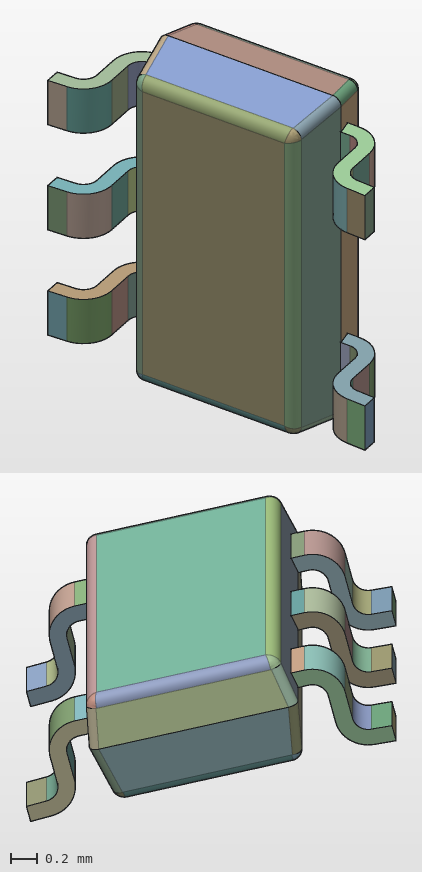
import cadquery as cq
import math


body_width = 1.6
body_length = 2.9
body_underside_y = 0.1
body_top_y = 1.0
parting_y = 0.61
draft_angle = 10.0
edge_radius = 0.1
corner_radius = 0.075

lead_span = 2.8
lead_thickness = 0.13
lead_width = 0.4
lead_pitch = 0.95
lead_top_y = 0.735
leg_outer_x = 1.13
inner_bend_radius = 0.12
foot_angle = 3.0
lead_embed = 0.1

left_lead_rows = (-1, 0, 1)
right_lead_rows = (-1, 1)


def housing_half(height):
    """Drafted half from the parting plane; a positive height goes towards +Y."""
    return (
        cq.Workplane("XZ", origin=(0, parting_y, 0))
        .rect(body_width, body_length)
        .extrude(-height, taper=draft_angle)
    )


def make_housing():
    """Two drafted halves as one block, rounded everywhere but at the parting line."""
    upper = housing_half(body_top_y - parting_y)
    lower = housing_half(body_underside_y - parting_y)
    block = upper.union(lower)
    block = block.faces("<Y or >Y").edges().fillet(edge_radius)
    return block.edges("%LINE").edges("not(|X or |Z)").fillet(corner_radius)


def make_lead():
    """Right-hand (+X) lead, centred on Z = 0."""
    slope = math.radians(foot_angle)
    outer_bend_radius = inner_bend_radius + lead_thickness
    root_x = body_width / 2 - lead_embed
    tip_x = lead_span / 2
    leg_inner_x = leg_outer_x - lead_thickness

    upper_x = leg_inner_x - inner_bend_radius
    upper_y = lead_top_y - outer_bend_radius

    lower_x = leg_outer_x + inner_bend_radius
    foot_start_x = lower_x - outer_bend_radius * math.sin(slope)
    lower_y = (tip_x - foot_start_x) * math.tan(slope) + outer_bend_radius * math.cos(slope)
    tip_thickness = lead_thickness / math.cos(slope)

    def upper_bend(radius, angle):
        return (upper_x + radius * math.cos(angle), upper_y + radius * math.sin(angle))

    def lower_bend(radius, angle):
        return (lower_x + radius * math.cos(angle), lower_y + radius * math.sin(angle))

    level = 0.0
    straight_up = math.pi / 2
    upper_middle = straight_up / 2
    leg_side = math.pi
    foot_side = 3 * math.pi / 2 - slope
    lower_middle = (leg_side + foot_side) / 2

    return (
        cq.Workplane("XY", origin=(0, 0, -lead_width / 2))
        .moveTo(root_x, lead_top_y)
        .lineTo(*upper_bend(outer_bend_radius, straight_up))
        .threePointArc(upper_bend(outer_bend_radius, upper_middle), upper_bend(outer_bend_radius, level))
        .lineTo(*lower_bend(inner_bend_radius, leg_side))
        .threePointArc(lower_bend(inner_bend_radius, lower_middle), lower_bend(inner_bend_radius, foot_side))
        .lineTo(tip_x, tip_thickness)
        .lineTo(tip_x, 0)
        .lineTo(*lower_bend(outer_bend_radius, foot_side))
        .threePointArc(lower_bend(outer_bend_radius, lower_middle), lower_bend(outer_bend_radius, leg_side))
        .lineTo(*upper_bend(inner_bend_radius, level))
        .threePointArc(upper_bend(inner_bend_radius, upper_middle), upper_bend(inner_bend_radius, straight_up))
        .lineTo(root_x, lead_top_y - lead_thickness)
        .close()
        .extrude(lead_width)
    )


right_lead = make_lead()
left_lead = right_lead.mirror("YZ")
leads = [right_lead.translate((0, 0, row * lead_pitch)) for row in right_lead_rows]
leads += [left_lead.translate((0, 0, row * lead_pitch)) for row in left_lead_rows]

housing = make_housing()
for lead in leads:
    housing = housing.cut(lead)

result = cq.Compound.makeCompound([housing.solids().val(), *[lead.val() for lead in leads]])